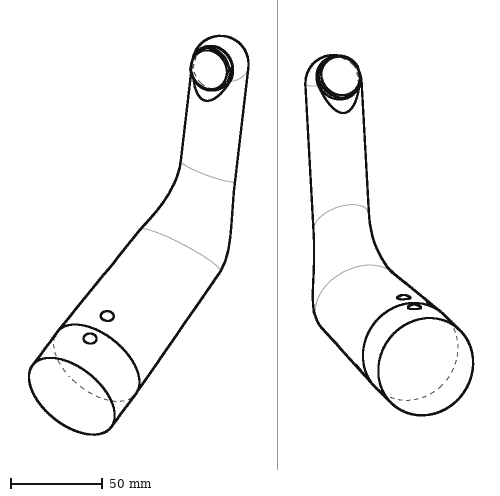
import cadquery as cq
import math


base_diameter = 55.0
base_radius = base_diameter / 2
handle_length = 26.3
handle_rise = 2.1

arm_end_top = (102.5, 32.4)
arm_end_bottom = (128.3, -14.7)
arm_end_width = 49.2

tube_diameter = 31.0
tube_radius = tube_diameter / 2
tube_lean = math.radians(10)
ball_center = (158.05, 121.9)
tube_inner_length = 66.0
tube_outer_length = 87.5

bend_sections = 9
bend_start_width_control = 46.5
inner_bend_pull = 0.54
outer_bend_pull = 0.76

seat_tilt = math.radians(30)
seat_offset = 9.3
aerator_diameter = 24.0
aerator_height = 4.94
aerator_chamfer = 1.0
flats_width = 22.0
collar_height = 0.7

handle_dome_y = 19.7
arm_dome_y = 37.8
dome_diameter = 6.8
dome_height = 1.3


def along(start, target, fraction):
    """Point at the given fraction of the way from start to target."""
    return tuple(a + fraction * (b - a) for a, b in zip(start, target))


def crossing(p, p_direction, q, q_direction):
    """Point where two lines of the side profile meet."""
    det = p_direction[1] * q_direction[0] - p_direction[0] * q_direction[1]
    dy = q[0] - p[0]
    dz = q[1] - p[1]
    step = (dz * q_direction[0] - dy * q_direction[1]) / det
    return (p[0] + step * p_direction[0], p[1] + step * p_direction[1])


def bezier(a, b, c, d, t):
    """Point on the cubic Bezier curve with control points a, b, c, d."""
    s = 1 - t
    weights = (s**3, 3 * s * s * t, 3 * s * t * t, t**3)
    return tuple(sum(w * p[i] for w, p in zip(weights, (a, b, c, d))) for i in range(2))


def section(top, bottom, width):
    """Elliptical cross-section wire spanning two side-profile points, with a given X width."""
    depth = math.dist(top, bottom)
    middle = along(top, bottom, 0.5)
    up = ((top[0] - bottom[0]) / depth, (top[1] - bottom[1]) / depth)
    plane = cq.Plane(origin=(0, *middle), xDir=(0, *up), normal=(0, up[1], -up[0]))
    if math.isclose(depth, width):
        return cq.Workplane(plane).circle(width / 2).val()
    return cq.Workplane(plane).ellipse(depth / 2, width / 2).val()


def loft(wires, ruled):
    return cq.Workplane(cq.Solid.makeLoft(wires, ruled))


def dome(y, surface_height):
    """Ball whose cap stands out of the top surface as a marker."""
    ball_radius = ((dome_diameter / 2) ** 2 + dome_height**2) / (2 * dome_height)
    center_z = surface_height + dome_height - ball_radius
    return cq.Workplane("XY").sphere(ball_radius).translate((0, y, center_z))


wall_top = (0, base_radius)
wall_bottom = (0, -base_radius)
joint_top = (handle_length, base_radius + handle_rise)
joint_bottom = (handle_length, handle_rise - base_radius)

tube_down = (-math.sin(tube_lean), -math.cos(tube_lean))
tube_inward = (-math.cos(tube_lean), math.sin(tube_lean))
ball_inner = tuple(c + tube_radius * d for c, d in zip(ball_center, tube_inward))
ball_outer = tuple(c - tube_radius * d for c, d in zip(ball_center, tube_inward))
tube_end_inner = tuple(p + tube_inner_length * d for p, d in zip(ball_inner, tube_down))
tube_end_outer = tuple(p + tube_outer_length * d for p, d in zip(ball_outer, tube_down))


def make_handle():
    sleeve = loft(
        [section(wall_top, wall_bottom, base_diameter), section(joint_top, joint_bottom, base_diameter)],
        ruled=True,
    )
    surface_height = along(wall_top, joint_top, handle_dome_y / handle_length)[1]
    return sleeve.union(dome(handle_dome_y, surface_height))


def make_arm():
    arm = loft(
        [section(joint_top, joint_bottom, base_diameter), section(arm_end_top, arm_end_bottom, arm_end_width)],
        ruled=True,
    )
    fraction = (arm_dome_y - handle_length) / (arm_end_top[0] - handle_length)
    surface_height = along(joint_top, arm_end_top, fraction)[1]
    return arm.union(dome(arm_dome_y, surface_height))


def bend_curve(arm_start, arm_end, tube_end, pull):
    """Control points of a bend line tangent to the arm edge and to the tube edge."""
    arm_direction = (arm_end[0] - arm_start[0], arm_end[1] - arm_start[1])
    corner = crossing(arm_end, arm_direction, tube_end, tube_down)
    return arm_end, along(arm_end, corner, pull), along(tube_end, corner, pull), tube_end


def make_bend():
    inner = bend_curve(joint_top, arm_end_top, tube_end_inner, inner_bend_pull)
    outer = bend_curve(joint_bottom, arm_end_bottom, tube_end_outer, outer_bend_pull)
    width_curve = (
        (0, arm_end_width),
        (1 / 3, bend_start_width_control),
        (2 / 3, tube_diameter),
        (1, tube_diameter),
    )
    wires = []
    for i in range(bend_sections):
        t = i / (bend_sections - 1)
        width = bezier(*width_curve, t)[1]
        wires.append(section(bezier(*inner, t), bezier(*outer, t), width))
    return loft(wires, ruled=False)


def make_tube():
    top_plane = cq.Plane(origin=(0, *ball_center), xDir=(1, 0, 0), normal=(0, *tube_down))
    cylinder = cq.Workplane(top_plane).circle(tube_radius).extrude(tube_outer_length)
    side_profile = (
        cq.Workplane("YZ")
        .polyline([ball_inner, ball_outer, tube_end_outer, tube_end_inner])
        .close()
        .extrude(tube_diameter, both=True)
    )
    ball = cq.Workplane("XY").sphere(tube_radius).translate((0, *ball_center))
    return cylinder.intersect(side_profile).union(ball)


seat_normal = (0, -math.cos(seat_tilt), math.sin(seat_tilt))
seat_origin = tuple(c + seat_offset * n for c, n in zip((0, *ball_center), seat_normal))
seat_plane = cq.Plane(origin=seat_origin, xDir=(1, 0, 0), normal=seat_normal)


def make_spout():
    spout = make_arm().union(make_bend()).union(make_tube())
    seat_cut = cq.Workplane(seat_plane).rect(2 * tube_diameter, 2 * tube_diameter).extrude(tube_radius)
    return spout.cut(seat_cut)


def make_aerator():
    disc = cq.Workplane(seat_plane).circle(aerator_diameter / 2).extrude(aerator_height)
    disc = disc.faces(cq.selectors.DirectionMinMaxSelector(cq.Vector(*seat_normal), True))
    disc = disc.chamfer(aerator_chamfer)
    collar = cq.Workplane(seat_plane).circle(aerator_diameter / 2).extrude(collar_height)
    flatted = cq.Workplane(seat_plane).rect(flats_width, 2 * aerator_diameter).extrude(aerator_height)
    return disc.intersect(flatted.union(collar))


handle = make_handle()
spout = make_spout()
aerator = make_aerator()

result = cq.Compound.makeCompound([body.solids().val() for body in (handle, spout, aerator)])